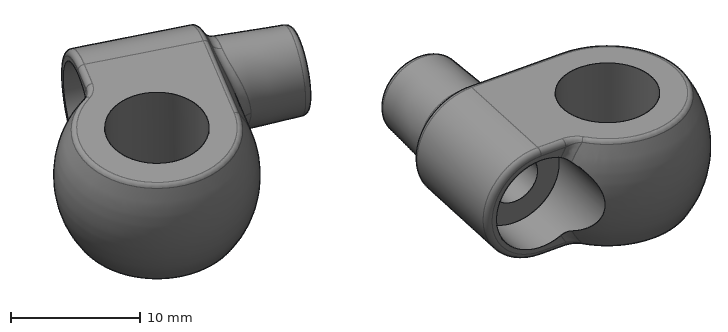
import cadquery as cq

total_length = 21.48
height = 10.0
half_height = height / 2
ring_radius = 8.0
crown_radius = 9.0
eye_radius = 4.05
barrel_x = ring_radius + half_height - total_length
barrel_front_y = -3.89
bore_radius = 4.08
bore_end_y = 0.0
passage_radius = 2.1
stud_end_y = 13.97
stud_tip_radius = 3.58
stud_base_radius = 3.82
stud_base_y = 7.75
edge_round = 0.5
stud_tip_round = 0.6
stud_root_round = 0.99
corner_round = 0.99
tolerance = 0.02

crown_center = ring_radius - crown_radius


def crown_reach(offset):
    """Distance from the centre plane to the crowned wall at a given offset from mid-height."""
    return crown_center + (crown_radius**2 - offset**2) ** 0.5


rim_reach = crown_reach(half_height)


def along_y(radius, start, end):
    """Cylinder on the barrel axis between two Y positions."""
    plane = cq.Workplane("XZ", origin=(barrel_x, start, 0))
    return plane.circle(radius).extrude(start - end)


def make_ring():
    """Ring whose outer wall bulges at mid-height."""
    return (
        cq.Workplane("XZ")
        .moveTo(0, -half_height)
        .lineTo(rim_reach, -half_height)
        .threePointArc((ring_radius, 0), (rim_reach, half_height))
        .lineTo(0, half_height)
        .close()
        .revolve(360, (0, 0, 0), (0, 1, 0))
    )


def make_arm():
    """Straight web from barrel to ring, with the same crowned back wall."""
    return (
        cq.Workplane("YZ", origin=(barrel_x, 0, 0))
        .moveTo(barrel_front_y, -half_height)
        .lineTo(rim_reach, -half_height)
        .threePointArc((ring_radius, 0), (rim_reach, half_height))
        .lineTo(barrel_front_y, half_height)
        .close()
        .extrude(-barrel_x)
    )


def make_barrel():
    """Round barrel with a domed back that continues the crown."""
    mid_offset = half_height / 2
    return (
        cq.Workplane("XY", origin=(barrel_x, 0, 0))
        .moveTo(0, barrel_front_y)
        .lineTo(half_height, barrel_front_y)
        .lineTo(half_height, rim_reach)
        .threePointArc((mid_offset, crown_reach(mid_offset)), (0, ring_radius))
        .close()
        .revolve(360, (0, 0, 0), (0, 1, 0))
    )


def make_stud():
    """Tapered stud with a rounded tip, rooted inside the barrel."""
    slope = (stud_base_radius - stud_tip_radius) / (stud_end_y - stud_base_y)
    root_radius = stud_base_radius + slope * stud_base_y
    stud = (
        cq.Workplane("XY", origin=(barrel_x, 0, 0))
        .lineTo(root_radius, 0)
        .lineTo(stud_tip_radius, stud_end_y)
        .lineTo(0, stud_end_y)
        .close()
        .revolve(360, (0, 0, 0), (0, 1, 0))
    )
    return stud.faces(">Y").edges().fillet(stud_tip_round)


def is_inside_corner(edge):
    """Upright edge where the flat front of the arm meets the crowned ring."""
    box = edge.BoundingBox()
    is_upright = box.zlen > half_height
    return is_upright and box.ylen < tolerance and box.xmax > barrel_x + tolerance


def is_rim(edge):
    """Edge bounding a flat face or closing a barrel end, as opposed to a seam between faces."""
    box = edge.BoundingBox()
    is_across_front_face = edge.geomType() == "BSPLINE" and box.zlen > half_height
    touches_flat = box.zmax > half_height - tolerance or box.zmin < tolerance - half_height
    is_wall_seam = box.xlen < tolerance
    return touches_flat and not (is_across_front_face or is_wall_seam)


def is_stud_root(edge):
    """Edge where the stud leaves the dome and the arm's crowned wall."""
    box = edge.BoundingBox()
    surrounds_stud = max(abs(box.xmin - barrel_x), abs(box.xmax - barrel_x)) < half_height - edge_round
    is_behind_rim = rim_reach < box.ymin and box.ymax < stud_end_y - 2 * stud_tip_round
    return surrounds_stud and is_behind_rim and box.xlen > tolerance


def round_edges(body, is_wanted, radius):
    """Fillet every edge of the body that passes the given test."""
    chosen = [edge for edge in body.edges().vals() if is_wanted(edge)]
    return body.newObject(chosen).fillet(radius)


body = make_ring().union(make_arm()).union(make_barrel()).clean()
body = round_edges(body, is_inside_corner, corner_round)
body = round_edges(body, is_rim, edge_round)

body = body.union(make_stud())
body = round_edges(body, is_stud_root, stud_root_round)

eye = cq.Workplane("XY", origin=(0, 0, -half_height)).circle(eye_radius).extrude(height)
bore = along_y(bore_radius, -ring_radius, bore_end_y)
passage = along_y(passage_radius, bore_end_y, stud_end_y)
result = body.cut(eye).cut(bore).cut(passage)